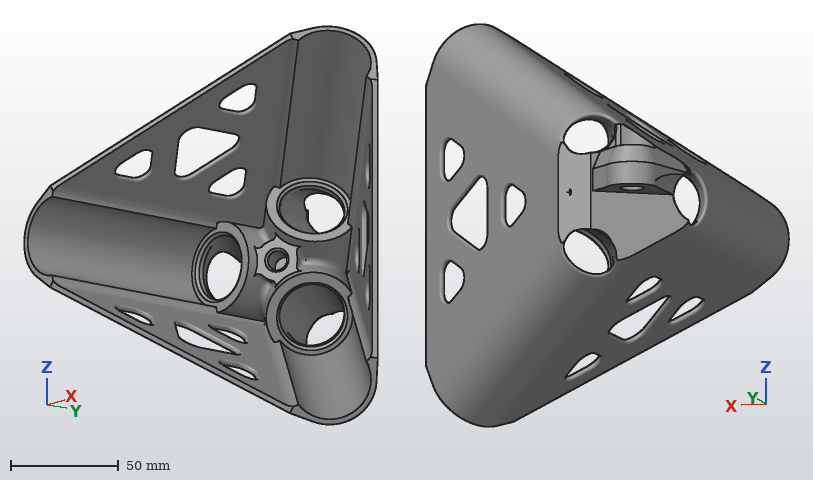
import cadquery as cq
import math

outer_radius = 21.5
seat_radius = 18.8
arm_length = 152.8
plate_thickness = 2.7
lip_offset = 9.7
lip_fillet = 6.8
plate_reach = 138.1

socket_depth = 51.9
flat_height = 12.2
duct_radius = 15.2
duct_chamfer = 1.3
duct_straight = 3.8
window_fillet = 1.0
back_half_angle = 40
groove_radius = 11.0
groove_offset = 22.2
groove_end = 24.0

pattern_center = 101.7
pattern_radius = 33.3
large_half_side = 10.6
large_corner = 6.7
small_half_side = 4.2
small_corner = 5.7
opening_fillet = 1.0

boss_radius = 9.9
boss_height = 50.4
screw_radius = 4.5
screw_depth = 15.2
screw_chamfer = 1.1
boss_fillet = 2.3

lug_x = 0.8
lug_radius = 12.4
lug_straight_height = 10.5
lug_taper = 22
lug_hole_radius = 5.6
lug_face_radius = 10.6
lug_face_height = 19.0
lug_heel = (-20.5, -41.8)
lug_toe = (26.5, -5.5)
lug_root = [(15.2, -34.2), (-15.2, -60.8)]
lug_shoulder = -6.8
lug_back_angle = 35

big = 475
tolerance = 0.04
overlap = 0.2
root2, root3 = math.sqrt(2), math.sqrt(3)
arm_a = cq.Vector(0, -1, 0)
arm_b = cq.Vector(1 / root2, -0.5, 0.5)
arm_c = cq.Vector(1 / root2, -0.5, -0.5)
center_axis = (arm_a + arm_b + arm_c).normalized()
arms = (arm_a, arm_b, arm_c)
bisector_bc = (arm_b + arm_c).normalized()
normal_bc = arm_b.cross(arm_c).normalized()
normal_ab = cq.Vector(-1 / root3, 0, root2 / root3)
along_ab = cq.Vector(root2 / root3, 0, 1 / root3)


def three_fold(shape):
    """Three copies of a shape turned about the axis of symmetry."""
    copies = shape
    for angle in (120, 240):
        copies = copies.add(shape.rotate((0, 0, 0), center_axis.toTuple(), angle))
    return copies.combine()


def section_point(along, out, side):
    """Point of arm A's cross-section, given along and out from the plate above or below it."""
    point = along_ab * along + normal_ab * out
    return (point.x, side * point.z)


def cradle():
    plate_inner = outer_radius - plate_thickness
    tip_out = math.sqrt(seat_radius**2 - lip_offset**2)
    lip_height = plate_inner - tip_out
    blend_end = lip_offset + math.sqrt(2 * lip_fillet * lip_height - lip_height**2)
    half_angle = math.acos(1 - lip_height / lip_fillet) / 2
    blend_mid = (
        blend_end - lip_fillet * math.sin(half_angle),
        plate_inner - lip_fillet * (1 - math.cos(half_angle)),
    )
    profile = (
        cq.Workplane("XZ")
        .moveTo(*section_point(blend_end, outer_radius, 1))
        .lineTo(*section_point(0, outer_radius, 1))
        .threePointArc((-outer_radius, 0), section_point(0, outer_radius, -1))
        .lineTo(*section_point(blend_end, outer_radius, -1))
        .lineTo(*section_point(blend_end, plate_inner, -1))
        .threePointArc(section_point(*blend_mid, -1), section_point(lip_offset, tip_out, -1))
        .threePointArc((-seat_radius, 0), section_point(lip_offset, tip_out, 1))
        .threePointArc(section_point(*blend_mid, 1), section_point(blend_end, plate_inner, 1))
        .close()
    )
    return profile.extrude(arm_length)


def plate_plane():
    """Plane on the outer face of the plate joining arms B and C, x along its bisector."""
    return cq.Plane(origin=normal_bc * outer_radius, xDir=bisector_bc, normal=normal_bc)


def plate():
    half_width = plate_reach / root3
    corners = [(0, 0), (plate_reach, half_width), (plate_reach, -half_width)]
    panel = cq.Workplane(plate_plane()).polyline(corners).close().extrude(-plate_thickness)
    panel = panel.cut(plate_openings())
    rims = [
        edge
        for side in (True, False)
        for face in panel.faces(cq.DirectionMinMaxSelector(normal_bc, side)).vals()
        for wire in face.innerWires()
        for edge in wire.Edges()
    ]
    return panel.newObject(rims).fillet(opening_fillet)


def rounded_triangle(center, half_side, corner, pointing):
    """Cutter through the plate, an equilateral triangle pointing up or down the bisector."""
    tip = pointing * 2 * half_side / root3
    base = -tip / 2
    corners = [(tip, 0), (base, half_side), (base, -half_side)]
    points = [(center[0] + x, center[1] + y) for x, y in corners]
    return (
        cq.Workplane(plate_plane()).polyline(points).close().offset2D(corner)
        .extrude(2 * plate_thickness, both=True)
    )


def plate_openings():
    cutters = rounded_triangle((pattern_center, 0), large_half_side, large_corner, 1)
    for angle in (60, 180, 300):
        center = (
            pattern_center + pattern_radius * math.cos(math.radians(angle)),
            pattern_radius * math.sin(math.radians(angle)),
        )
        cutters = cutters.union(rounded_triangle(center, small_half_side, small_corner, -1))
    return cutters


def slab(direction, start, end):
    """Everything between two planes square to a direction."""
    plane = cq.Plane(origin=direction * start, normal=direction)
    return cq.Workplane(plane).rect(big, big).extrude(end - start)


def envelope():
    """Square ends on the arms and free edges on the plates."""
    body = slab(arm_a, 0, arm_length).intersect(slab(center_axis, flat_height, big))
    for arm in (arm_b, arm_c):
        body = body.intersect(slab(arm, -arm_length, arm_length))
    for arm_pair in (arm_a + arm_b, arm_b + arm_c, arm_c + arm_a):
        body = body.intersect(slab(arm_pair.normalized(), -big / 2, plate_reach))
    return body


def rod(radius, start, end, direction):
    return cq.Workplane(cq.Solid.makeCylinder(radius, end - start, direction * start, direction))


def core():
    """The three sockets and the boss, blended where the boss meets the sockets."""
    boss = rod(boss_radius, 0, boss_height, center_axis)
    block = three_fold(rod(outer_radius, 0, socket_depth, arm_a)).union(boss)
    seams = []
    for edge in block.edges().vals():
        height = edge.Center().dot(center_axis)
        from_axis = (edge.Center() - center_axis * height).Length
        below_face = flat_height < height < boss_height - boss_fillet / 2
        if below_face and from_axis < boss_radius + boss_fillet:
            seams.append(edge)
    return block.newObject(seams).fillet(boss_fillet)


def duct():
    """Passage from the socket face out through a window in the back of arm A."""
    bore = cq.Workplane("XZ", origin=(0, duct_straight - socket_depth, 0)).circle(duct_radius)
    turn = cq.Workplane("XZ", origin=(-groove_offset, -groove_end, 0)).circle(groove_radius)
    passage = cq.Workplane(cq.Solid.makeLoft([bore.wires().val(), turn.wires().val()], True))
    groove = turn.extrude(-2 * groove_end)
    mouth = cq.Solid.makeCone(
        duct_radius + duct_chamfer, duct_radius, duct_chamfer, arm_a * socket_depth, -arm_a
    )
    return passage.union(groove).union(bore.extrude(duct_straight)).union(cq.Workplane(mouth))


def window_rims(shape):
    """Edges where the ducts break out through the backs of the arms."""
    rims = []
    for edge in shape.edges().vals():
        middle = edge.positionAt(0.5)
        for arm in arms:
            along = middle.dot(arm)
            radial = middle - arm * along
            back = arm * center_axis.dot(arm) - center_axis
            on_outer_face = abs(radial.Length - outer_radius) < tolerance
            on_back = radial.getAngle(back) < math.radians(back_half_angle)
            if on_outer_face and on_back and groove_end < along < socket_depth:
                rims.append(edge)
    return shape.newObject(rims)


def lug_rim(angle):
    return (lug_x + lug_radius * math.cos(angle), lug_radius * math.sin(angle))


def lug():
    heel_x = lug_heel[0] - lug_x
    heel_y = lug_heel[1]
    tangent_turn = math.acos(lug_radius / math.hypot(heel_x, heel_y))
    outline = (
        cq.Workplane("XY")
        .moveTo(*lug_heel)
        .lineTo(*lug_rim(math.atan2(heel_y, heel_x) - tangent_turn))
        .threePointArc((lug_x, lug_radius), lug_rim(math.radians(lug_back_angle)))
        .lineTo(*lug_toe)
        .lineTo(*lug_root[0])
        .lineTo(*lug_root[1])
        .close()
    )
    ear = outline.extrude(lug_straight_height)
    rim = ear.faces(">Z").wires().toPending().workplane()
    ear = ear.union(rim.extrude(outer_radius, taper=lug_taper, combine=False))
    shoulder = cq.Workplane("XY").box(big, big, big, centered=False)
    ear = ear.cut(shoulder.translate((lug_x, lug_shoulder, lug_face_height)))
    roof = (
        cq.Workplane("XZ", origin=(0, big / 2, 0)).moveTo(*section_point(big, outer_radius, 1))
        .lineTo(*section_point(0, outer_radius, 1))
        .threePointArc((-outer_radius, 0), section_point(0, outer_radius, -1))
        .lineTo(*section_point(big, outer_radius, -1)).close().extrude(big)
    )
    return ear.intersect(roof).intersect(slab(center_axis, -big / 2, flat_height + overlap))


body = three_fold(cradle()).union(three_fold(plate())).union(core()).intersect(envelope())
body = body.cut(three_fold(duct()))
body = window_rims(body).fillet(window_fillet)
body = body.union(lug()).cut(duct())

screw_hole = rod(screw_radius, boss_height - screw_depth, boss_height, center_axis)
screw_mouth = cq.Solid.makeCone(
    screw_radius,
    screw_radius + screw_chamfer,
    screw_chamfer,
    center_axis * (boss_height - screw_chamfer),
    center_axis,
)
body = body.cut(screw_hole).cut(cq.Workplane(screw_mouth))

lug_axis = cq.Workplane("XY").center(lug_x, 0)
lug_hole = lug_axis.circle(lug_hole_radius).extrude(outer_radius, both=True)
lug_face = lug_axis.workplane(offset=lug_face_height).circle(lug_face_radius).extrude(outer_radius)
result = body.cut(lug_hole).cut(lug_face)